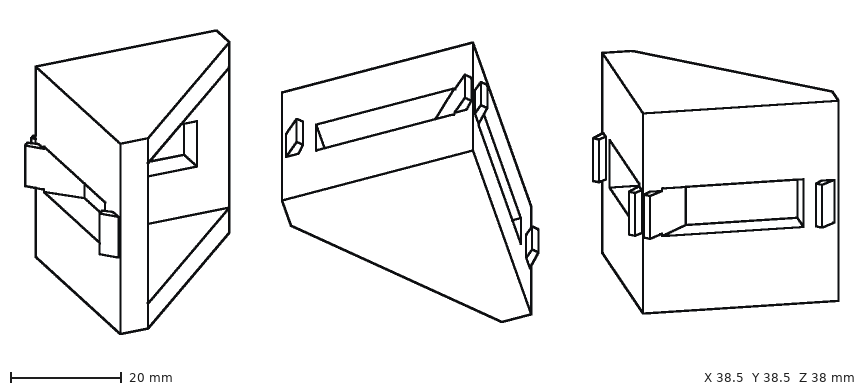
import cadquery as cq

leg = 36.05
height = 38.0
wall = 5.55
plate = 5.0

window_start = 3.5
window_end = 29.55
window_height = 9.05

tab_reach = 38.5 - leg
tab_height = 8.12
tab_base_width = 2.3
tab_tip_size = 0.92
tab_lean = 2.75
tab_pitch = 31.72

diagonal_normal = cq.Vector(1, -1, 0)


def prism(points, thickness):
    """Vertical prism on an XY outline, centred on the mid-height of the part."""
    bottom = (height - thickness) / 2
    return cq.Workplane("XY").workplane(offset=bottom).polyline(points).close().extrude(thickness)


def front_tab(base_end):
    """Tab on the front leg whose base finishes at x = base_end."""
    tip_x = base_end - tab_lean
    return prism(
        [
            (base_end, 0),
            (tip_x, -tab_reach),
            (tip_x - tab_tip_size, -tab_reach + tab_tip_size),
            (base_end - tab_base_width, 0),
        ],
        tab_height,
    )


def swap_legs(shape):
    """Mirror a front-leg feature across the plane x = y onto the other leg."""
    return shape.mirror(diagonal_normal)


body = prism([(0, 0), (leg, 0), (leg, wall), (wall, leg), (0, leg)], height)

body = body.cut(prism([(wall, wall), (leg, wall), (wall, leg)], height - 2 * plate))

front_window = prism(
    [
        (window_start, 0),
        (window_end, 0),
        (window_end, wall),
        (window_start + wall, wall),
    ],
    window_height,
)
body = body.cut(front_window).cut(swap_legs(front_window))

for base_end in (window_start, window_start + tab_pitch):
    tab = front_tab(base_end)
    body = body.union(tab).union(swap_legs(tab))

result = body